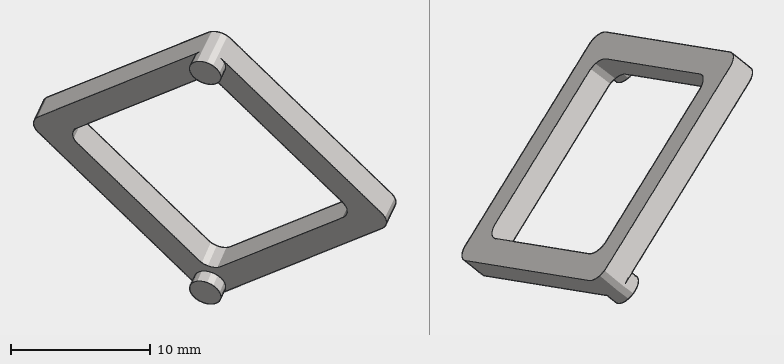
import cadquery as cq
import math

overall_width = 27.0
frame_thickness = 2.0
pin_height = 1.0
pin_diameter = 2.4
corner_radius = pin_diameter / 2
corner_wall = 3.0
opening_radius = 1.2

corner_center = overall_width / 2 - corner_radius
opening_center = overall_width / 2 - corner_wall - opening_radius


def rounded_diamond(center_distance, radius):
    """Square prism standing on a corner, its rounded corners centred on the X and Z axes."""
    step = radius / math.sqrt(2)
    tangent = center_distance + step
    tip = center_distance + radius
    return (
        cq.Workplane("XZ")
        .moveTo(tangent, -step)
        .threePointArc((tip, 0), (tangent, step))
        .lineTo(step, tangent)
        .threePointArc((0, tip), (-step, tangent))
        .lineTo(-tangent, step)
        .threePointArc((-tip, 0), (-tangent, -step))
        .lineTo(-step, -tangent)
        .threePointArc((0, -tip), (step, -tangent))
        .close()
        .extrude(frame_thickness)
    )


def pin(z):
    """Round pin running through the frame and standing out of its -Y face."""
    return (
        cq.Workplane("XZ")
        .center(0, z)
        .circle(pin_diameter / 2)
        .extrude(frame_thickness + pin_height)
    )


frame = rounded_diamond(corner_center, corner_radius).cut(rounded_diamond(opening_center, opening_radius))

result = frame
for pin_z in (-corner_center, corner_center):
    result = result.union(pin(pin_z))